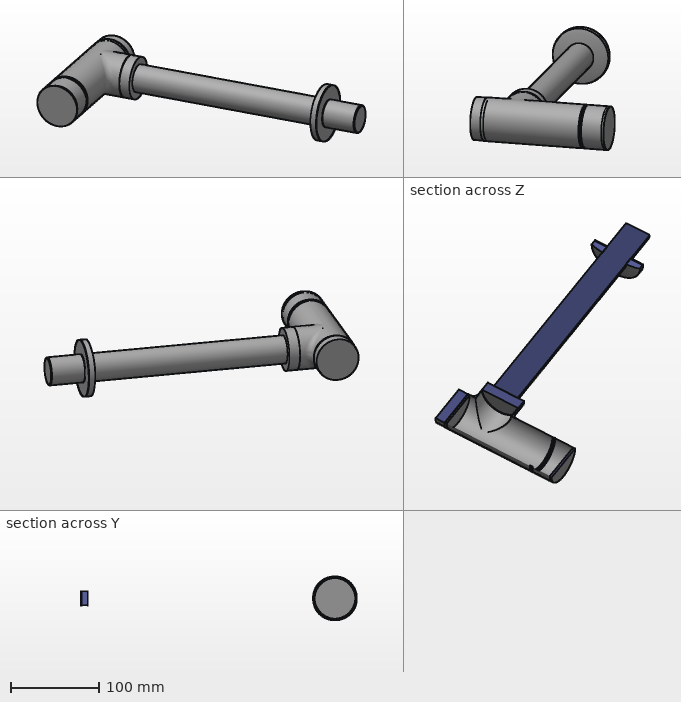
import cadquery as cq

OVERALL_X = 353.0
TEE_RADIUS = 25.0
TEE_AXIS_X = TEE_RADIUS
REAR_END_Y = 47.0
FRONT_END_Y = -110.0
REAR_COLLAR_LENGTH = 12.0
COLLAR_RADIUS = 24.7
CAP_LENGTH = 27.5
CAP_CHAMFER = 0.5

WALL = 1.0
FLOOR = 3.2
BORE_RADIUS = TEE_RADIUS - WALL

SEAL_GAP = 1.5
SEAL_INSET = 0.5
SEAL_LIP = 1.0

BRANCH_RADIUS = 24.7
BRANCH_END_X = 63.2
BRANCH_FILLET = 7.0
OUTLET_COLLAR_END_X = 76.0

PIPE_RADIUS = 16.2
PIPE_END_CHAMFER = 1.0

FLANGE_DIAMETER = 65.3
FLANGE_RADIUS = FLANGE_DIAMETER / 2
FLANGE_FRONT_X = 302.5
FLANGE_RIM_X = 305.7
FLANGE_DOME_BULGE = 0.7
WALL_FACE_X = 313.5
GASKET_THICKNESS = 0.9
FLANGE_BACK_X = WALL_FACE_X - GASKET_THICKNESS

CAP_BACK_Y = FRONT_END_Y + CAP_LENGTH
TEE_FRONT_Y = CAP_BACK_Y + SEAL_GAP
TEE_BACK_Y = REAR_END_Y - REAR_COLLAR_LENGTH


def cylinder_along_y(radius, start_y, end_y):
    """Solid cylinder on the main axis."""
    plane = cq.Plane(origin=(TEE_AXIS_X, start_y, 0), xDir=(1, 0, 0), normal=(0, 1, 0))
    return cq.Workplane(plane).circle(radius).extrude(end_y - start_y)


def cylinder_along_x(radius, start_x, end_x):
    """Solid cylinder on the branch axis."""
    return cq.Workplane("YZ", origin=(start_x, 0, 0)).circle(radius).extrude(end_x - start_x)


def make_tee():
    """Thin-walled main tube with the side branch blended into it and its back end closed."""
    main = cylinder_along_y(TEE_RADIUS, TEE_FRONT_Y, TEE_BACK_Y)
    branch = cylinder_along_x(BRANCH_RADIUS, TEE_AXIS_X, BRANCH_END_X)
    seam_box = cq.selectors.BoxSelector(
        (TEE_AXIS_X, -TEE_RADIUS, -TEE_RADIUS),
        (BRANCH_END_X - BRANCH_FILLET, TEE_RADIUS, TEE_RADIUS),
    )
    shell = main.union(branch).edges(seam_box).fillet(BRANCH_FILLET)
    main_bore = cylinder_along_y(BORE_RADIUS, TEE_FRONT_Y, TEE_BACK_Y - FLOOR)
    branch_bore = cylinder_along_x(BRANCH_RADIUS - WALL, TEE_AXIS_X, BRANCH_END_X)
    return shell.cut(main_bore).cut(branch_bore)


def make_rear_collar():
    return cylinder_along_y(COLLAR_RADIUS, TEE_BACK_Y, REAR_END_Y)


def make_seal():
    """Ring filling the gap between tee and cap, with a sleeve reaching a little way into both bores."""
    ring = cylinder_along_y(TEE_RADIUS - SEAL_INSET, CAP_BACK_Y, TEE_FRONT_Y)
    sleeve = cylinder_along_y(BORE_RADIUS, CAP_BACK_Y - SEAL_LIP, TEE_FRONT_Y + SEAL_LIP)
    opening = cylinder_along_y(BORE_RADIUS - WALL, CAP_BACK_Y - SEAL_LIP, TEE_FRONT_Y + SEAL_LIP)
    return ring.union(sleeve).cut(opening)


def make_cap():
    """Cup closing the front end, open toward the tee."""
    cap = cylinder_along_y(TEE_RADIUS, FRONT_END_Y, CAP_BACK_Y).faces("<Y").chamfer(CAP_CHAMFER)
    return cap.cut(cylinder_along_y(BORE_RADIUS, FRONT_END_Y + FLOOR, CAP_BACK_Y))


def make_outlet_collar():
    return cylinder_along_x(COLLAR_RADIUS, BRANCH_END_X, OUTLET_COLLAR_END_X)


def make_pipe():
    pipe = cylinder_along_x(PIPE_RADIUS, OUTLET_COLLAR_END_X, OVERALL_X)
    return pipe.faces(">X").chamfer(PIPE_END_CHAMFER)


def make_flange():
    """Disc with a shallow domed front, bored to fit the pipe."""
    dome_middle = (
        (FLANGE_FRONT_X + FLANGE_RIM_X) / 2 - FLANGE_DOME_BULGE,
        (PIPE_RADIUS + FLANGE_RADIUS) / 2,
    )
    profile = (
        cq.Workplane("XY")
        .moveTo(FLANGE_FRONT_X, PIPE_RADIUS)
        .threePointArc(dome_middle, (FLANGE_RIM_X, FLANGE_RADIUS))
        .lineTo(FLANGE_BACK_X, FLANGE_RADIUS)
        .lineTo(FLANGE_BACK_X, PIPE_RADIUS)
        .close()
    )
    return profile.revolve(360, (0, 0, 0), (1, 0, 0))


def make_gasket():
    """Thin washer behind the flange, fitted around the pipe."""
    disc = cylinder_along_x(FLANGE_RADIUS, FLANGE_BACK_X, WALL_FACE_X)
    return disc.cut(cylinder_along_x(PIPE_RADIUS, FLANGE_BACK_X, WALL_FACE_X))


tee = make_tee()
rear_collar = make_rear_collar()
seal = make_seal()
cap = make_cap()
outlet_collar = make_outlet_collar()
pipe = make_pipe()
flange = make_flange()
gasket = make_gasket()

result = cq.Compound.makeCompound([
    tee.val(),
    rear_collar.val(),
    seal.val(),
    cap.val(),
    outlet_collar.val(),
    pipe.val(),
    flange.val(),
    gasket.val(),
])